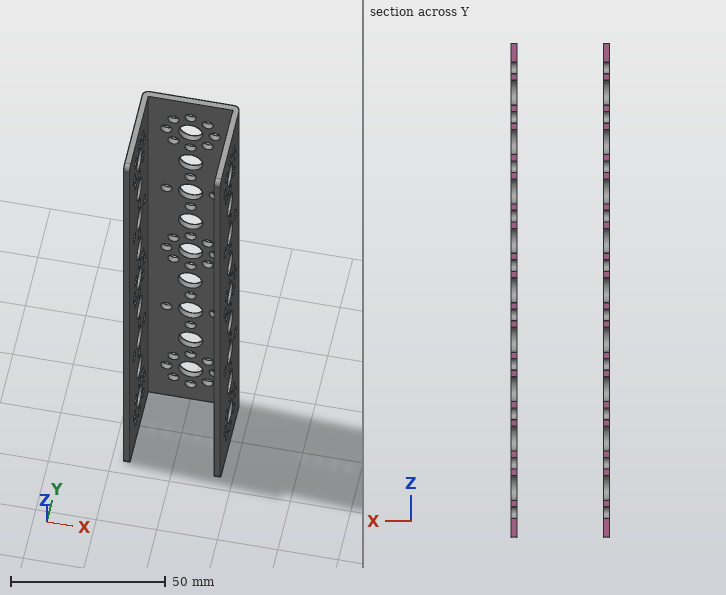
import cadquery as cq
import math

width = 32.0
depth = 32.0
length = 160.0
wall = 2.0

bend_radius = 2.0
flange_corner_radius = 2.0

pitch = 16.0
bore_diameter = 8.0
small_diameter = 3.7
ring_radius = pitch / 2
bore_count = round(length / pitch) - 1
full_ring_holes = 8
cross_ring_holes = 4

offset_bore_index = 3
bore_offset = 0.2


def make_channel():
    """U-shaped channel along Z, open toward -Y, with the web on the +Y side."""
    outer = cq.Workplane("XY").box(width, depth, length)
    outer = outer.edges("|Z and >Y").fillet(bend_radius)
    inner = cq.Workplane("XY").box(width - 2 * wall, depth, length).translate((0, -wall, 0))
    return outer.cut(inner)


def round_flange_corners(channel):
    """Round the free corners at both ends of each flange."""
    return channel.faces("<Y").edges("|X").fillet(flange_corner_radius)


def bore_height(index):
    """Z of a bore, with the row of bores centred on the channel."""
    return (index - (bore_count - 1) / 2) * pitch


def bore_centres(offset):
    """Centres of the bores as (across, along) pairs; offset shifts the off-centre bore."""
    return [
        (offset if index == offset_bore_index else 0, bore_height(index))
        for index in range(bore_count)
    ]


def small_hole_centres():
    """Rings of small holes around every second bore, alternating between 8 and 4 holes."""
    centres = []
    for index in range(0, bore_count, 2):
        ring_holes = full_ring_holes if index % 4 == 0 else cross_ring_holes
        for step in range(ring_holes):
            angle = 2 * math.pi * step / ring_holes
            across = ring_radius * math.cos(angle)
            along = bore_height(index) + ring_radius * math.sin(angle)
            centres.append((across, along))
    return centres


def drill_pattern(channel, plane, offset):
    """Drill the whole hole pattern right through the channel, square to the plane."""
    reach = max(width, depth)
    bores = cq.Workplane(plane).pushPoints(bore_centres(offset))
    bores = bores.circle(bore_diameter / 2).extrude(reach, both=True)
    small_holes = cq.Workplane(plane).pushPoints(small_hole_centres())
    small_holes = small_holes.circle(small_diameter / 2).extrude(reach, both=True)
    return channel.cut(bores).cut(small_holes)


channel = round_flange_corners(make_channel())
channel = drill_pattern(channel, "XZ", -bore_offset)
result = drill_pattern(channel, "YZ", bore_offset)